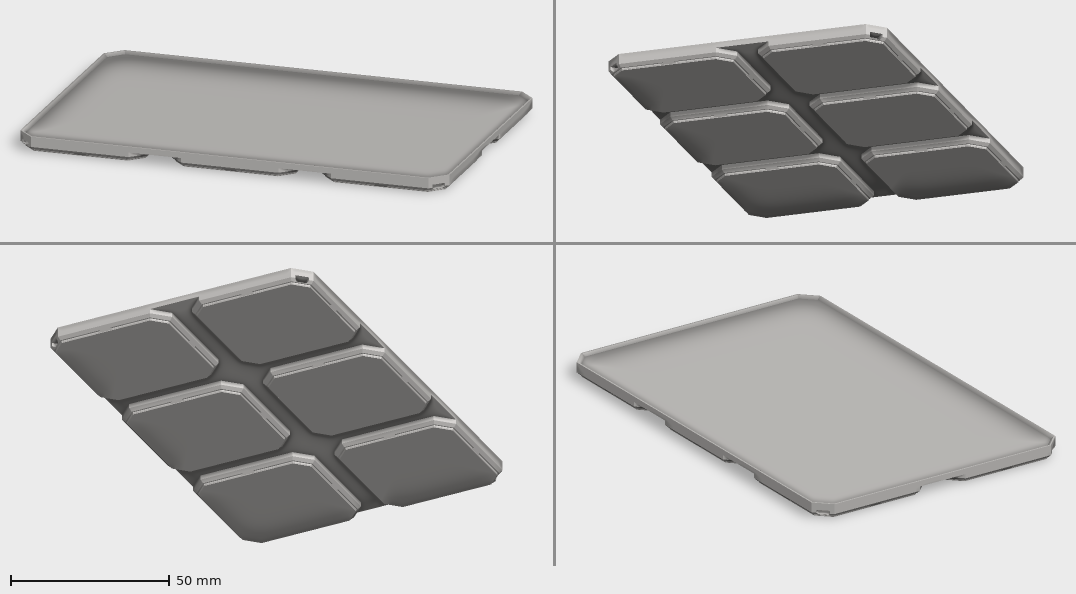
import cadquery as cq
import math

columns = 3
rows = 2
pitch = 50.0
foot_size = 43.0
corner_cut = 5.25

length = (columns - 1) * pitch + foot_size
width = (rows - 1) * pitch + foot_size
height = 5.1

plate_bottom = 3.2
tray_depth = 0.9
rim_land = 0.5
rim_slope_run = 0.9
floor_z = height - tray_depth

foot_chamfer = 1.5
base_height = 0.2
wall_bottom = base_height + foot_chamfer

groove_bottom = 0.3
groove_top = 0.75

bridge_bottom_length = 5.0
bridge_top_length = 3.6

slot_width = 4.4
slot_floor_width = 3.2
slot_depth = 4.2
slot_top = 2.7
slot_floor = 0.9
slot_taper_height = (slot_width - slot_floor_width) / 2


def octagon_wire(size_x, size_y, inset, z):
    """Rectangle with 45 degree corners, every side moved in by the inset."""
    half_x = size_x / 2 - inset
    half_y = size_y / 2 - inset
    leg = corner_cut - inset * (2 - math.sqrt(2))
    corners = [
        (half_x - leg, half_y),
        (half_x, half_y - leg),
        (half_x, leg - half_y),
        (half_x - leg, -half_y),
        (leg - half_x, -half_y),
        (-half_x, leg - half_y),
        (-half_x, half_y - leg),
        (leg - half_x, half_y),
    ]
    return cq.Workplane("XY").workplane(offset=z).polyline(corners).close().wires().val()


def octagon_stack(size_x, size_y, edge):
    """Solid whose edge follows (inset, z) points from the bottom up."""
    stack = cq.Workplane("XY")
    for bottom, top in zip(edge, edge[1:]):
        if bottom[1] == top[1]:
            continue
        wires = [octagon_wire(size_x, size_y, *point) for point in (bottom, top)]
        stack = stack.union(cq.Workplane(cq.Solid.makeLoft(wires, True)))
    return stack


def make_tray():
    plate = octagon_stack(length, width, [(0, plate_bottom), (0, height)])
    hollow_edge = [(rim_land + rim_slope_run, floor_z), (rim_land, height)]
    return plate.cut(octagon_stack(length, width, hollow_edge))


def chamfer_inset(z):
    """Inset of the foot chamfer at a given height."""
    return wall_bottom - z


def make_bridges():
    """Two crossing bars whose ends fill the groove in the middle of each side."""
    profile = [
        (-bridge_bottom_length / 2, groove_bottom),
        (bridge_bottom_length / 2, groove_bottom),
        (bridge_top_length / 2, groove_top),
        (-bridge_top_length / 2, groove_top),
    ]
    bar = cq.Workplane("XZ").polyline(profile).close().extrude(foot_size / 2, both=True)
    return bar.union(bar.rotate((0, 0, 0), (0, 0, 1), 90))


def make_foot():
    base = [(foot_chamfer, 0), (foot_chamfer, base_height)]
    wall = [(0, wall_bottom), (0, plate_bottom)]
    groove_inset = chamfer_inset(groove_bottom)
    groove = [
        (groove_inset, groove_bottom),
        (groove_inset, groove_top),
        (chamfer_inset(groove_top), groove_top),
    ]
    plain_foot = octagon_stack(foot_size, foot_size, base + wall)
    grooved_foot = octagon_stack(foot_size, foot_size, base + groove + wall)
    return grooved_foot.union(plain_foot.intersect(make_bridges()))


def make_corner_slot(side_x, side_y):
    """Slot cutter centred on one outer corner face, lying along its normal."""
    profile = [
        (-slot_floor_width / 2, slot_floor),
        (slot_floor_width / 2, slot_floor),
        (slot_width / 2, slot_floor + slot_taper_height),
        (slot_width / 2, slot_top),
        (-slot_width / 2, slot_top),
        (-slot_width / 2, slot_floor + slot_taper_height),
    ]
    angle = math.degrees(math.atan2(side_y, side_x))
    face_centre = (side_x * (length - corner_cut) / 2, side_y * (width - corner_cut) / 2, 0)
    cutter = cq.Workplane("YZ").polyline(profile).close().extrude(slot_depth, both=True)
    return cutter.rotate((0, 0, 0), (0, 0, 1), angle).translate(face_centre)


result = make_tray()

foot = make_foot()
for column in range(columns):
    for row in range(rows):
        x = (column - (columns - 1) / 2) * pitch
        y = (row - (rows - 1) / 2) * pitch
        result = result.union(foot.translate((x, y, 0)))

for side_x in (-1, 1):
    for side_y in (-1, 1):
        result = result.cut(make_corner_slot(side_x, side_y))